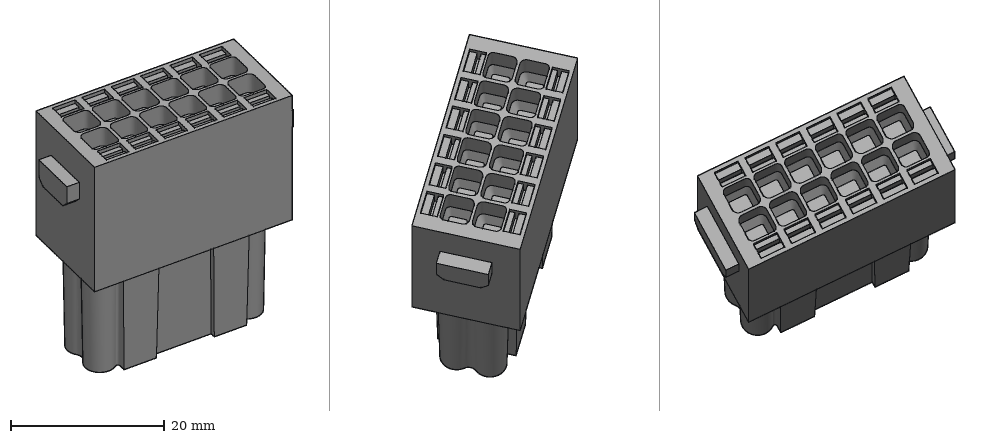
import cadquery as cq
import math

housing_width = 14.6
housing_length = 30.3
housing_height = 20.15
overall_height = 36.25
overall_length = 34.1

contact_rows = 6
contact_pitch = 4.5

cavity_center_x = 2.15
cavity_width = 3.9
cavity_length = 4.0
cavity_inner_radius = 0.85
cavity_outer_radius = 0.65
cavity_straight_depth = 3.0
cavity_floor_center_x = 2.32
cavity_floor_width = 2.42
cavity_floor_length = 2.7
cavity_floor_radius = 0.3
cavity_depth = 4.3

slot_inner_x = 4.44
slot_outer_x = 6.7
slot_length = 3.45
ledge_depth = 0.57
channel_inner_x = 5.16
channel_outer_x = 5.68
channel_depth = 2.0

lug_projection = (overall_length - housing_length) / 2
lug_top_drop = 4.8
lug_height = 3.7
lug_chamfer = 1.0
front_lug_width = 7.0
rear_lug_width = 9.0

plug_height = overall_height - housing_height
plug_draft_angle = 0.92
lobe_center_x = contact_pitch / 2
lobe_center_y = (contact_rows - 1) * contact_pitch / 2
lobe_root_radius = 2.48
groove_root_radius = 0.93
pad_half_width = 5.54
pad_outer_y = 9.65
pad_inner_y = 4.17
pad_fillet_radius = 0.3
recess_half_width = 4.75


def contact_row_positions():
    first_y = -(contact_rows - 1) * contact_pitch / 2
    return [first_y + row * contact_pitch for row in range(contact_rows)]


def make_housing():
    return cq.Workplane("XY").box(
        housing_width, housing_length, housing_height, centered=(True, True, False)
    )


def make_lug(width, side):
    """Lug with chamfered lower corners on the end face at side * Y."""
    lug_top = housing_height - lug_top_drop
    return (
        cq.Workplane("XY")
        .box(width, lug_projection, lug_height)
        .edges("|Y and <Z")
        .chamfer(lug_chamfer)
        .translate((0, side * (housing_length + lug_projection) / 2, lug_top - lug_height / 2))
    )


def rounded_rectangle(width, length, inner_radius, outer_radius, side):
    """Rectangle whose corners towards the middle plane and away from it differ in radius."""
    inner_corners, outer_corners = ("<X", ">X") if side > 0 else (">X", "<X")
    return (
        cq.Sketch()
        .rect(width, length)
        .vertices(inner_corners)
        .fillet(inner_radius)
        .reset()
        .vertices(outer_corners)
        .fillet(outer_radius)
        .reset()
    )


def make_cavity(side):
    """One cavity in the column at side * X: straight mouth, then a taper to a smaller floor."""
    mouth = rounded_rectangle(
        cavity_width, cavity_length, cavity_inner_radius, cavity_outer_radius, side
    )
    floor = rounded_rectangle(
        cavity_floor_width, cavity_floor_length, cavity_floor_radius, cavity_floor_radius, side
    )
    taper_top = housing_height - cavity_straight_depth
    floor_height = housing_height - cavity_depth
    mouth_place = cq.Location(cq.Vector(side * cavity_center_x, 0, taper_top))
    floor_place = cq.Location(cq.Vector(side * cavity_floor_center_x, 0, floor_height))
    straight = (
        cq.Workplane("XY", origin=(side * cavity_center_x, 0, taper_top))
        .placeSketch(mouth)
        .extrude(cavity_straight_depth)
    )
    taper = (
        cq.Workplane("XY")
        .placeSketch(mouth.moved(mouth_place), floor.moved(floor_place))
        .loft(ruled=True)
    )
    return straight.union(taper)


def slot_box(inner_x, outer_x, depth, side):
    return (
        cq.Workplane("XY")
        .box(outer_x - inner_x, slot_length, depth)
        .translate((side * (inner_x + outer_x) / 2, 0, housing_height - depth / 2))
    )


def make_slot(side):
    """One slot: a deep channel between two shallow ledges."""
    inner_ledge = slot_box(slot_inner_x, channel_inner_x, ledge_depth, side)
    channel = slot_box(channel_inner_x, channel_outer_x, channel_depth, side)
    outer_ledge = slot_box(channel_outer_x, slot_outer_x, ledge_depth, side)
    return inner_ledge.union(channel).union(outer_ledge)


def plug_quarter_section(z, inset):
    """Quarter outline of the plug at height z, drawn in from its root outline by inset."""
    lobe_radius = lobe_root_radius - inset
    pad_side_x = pad_half_width - inset
    pad_end_y = pad_outer_y - inset
    recess_x = recess_half_width - inset
    recess_y = pad_inner_y + inset

    groove_radius = groove_root_radius + inset
    groove_reach = lobe_radius + groove_radius
    groove_rise = math.sqrt(groove_reach**2 - lobe_center_x**2)
    groove_bottom_y = lobe_center_y + groove_rise - groove_radius
    groove_end_x = lobe_center_x * groove_radius / groove_reach
    groove_end_y = lobe_center_y + groove_rise * lobe_radius / groove_reach

    fillet_reach = lobe_radius + pad_fillet_radius
    fillet_drop = lobe_center_y - pad_end_y - pad_fillet_radius
    fillet_offset = math.sqrt(fillet_reach**2 - fillet_drop**2)
    fillet_start_x = lobe_center_x + fillet_offset
    fillet_end_x = lobe_center_x + fillet_offset * lobe_radius / fillet_reach
    fillet_end_y = lobe_center_y - fillet_drop * lobe_radius / fillet_reach

    lobe_corner_offset = lobe_radius * math.sqrt(0.5)
    lobe_corner = (lobe_center_x + lobe_corner_offset, lobe_center_y + lobe_corner_offset)
    return (
        cq.Workplane("XY", origin=(0, 0, z))
        .lineTo(recess_x, 0)
        .lineTo(recess_x, recess_y)
        .lineTo(pad_side_x, recess_y)
        .lineTo(pad_side_x, pad_end_y)
        .lineTo(fillet_start_x, pad_end_y)
        .radiusArc((fillet_end_x, fillet_end_y), pad_fillet_radius)
        .threePointArc(lobe_corner, (groove_end_x, groove_end_y))
        .radiusArc((0, groove_bottom_y), groove_radius)
        .close()
        .val()
    )


def make_plug():
    """Drafted plug: one quarter lofted from root to tip, then mirrored twice."""
    tip_inset = plug_height * math.tan(math.radians(plug_draft_angle))
    root = plug_quarter_section(0, 0)
    tip = plug_quarter_section(-plug_height, tip_inset)
    quarter = cq.Workplane(cq.Solid.makeLoft([root, tip], True))
    half = quarter.union(quarter.mirror("YZ"))
    return half.union(half.mirror("XZ")).clean()


result = make_housing().union(make_plug())
result = result.union(make_lug(front_lug_width, -1)).union(make_lug(rear_lug_width, 1))
for side in (-1, 1):
    cavity = make_cavity(side)
    slot = make_slot(side)
    for y in contact_row_positions():
        result = result.cut(cavity.translate((0, y, 0)))
        result = result.cut(slot.translate((0, y, 0)))